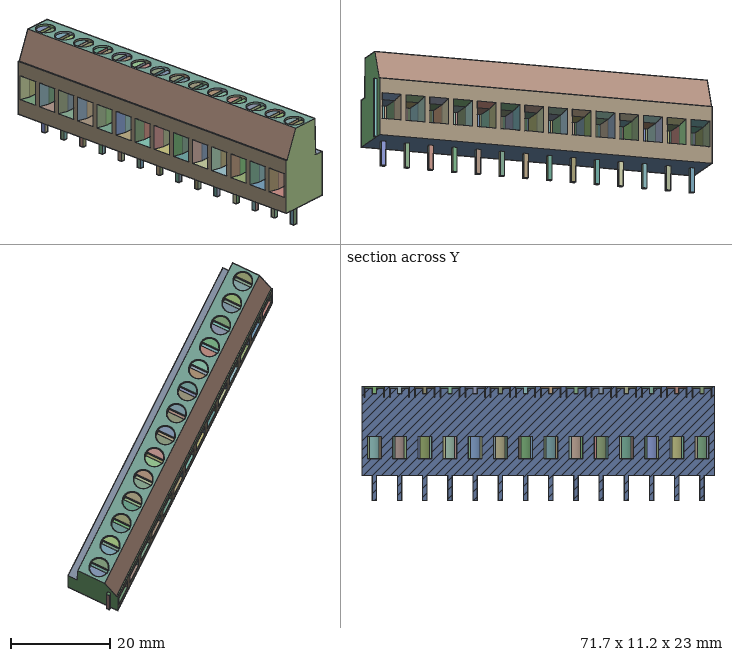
import cadquery as cq

pole_count = 14
total_length = 71.7
rib_thickness = 0.6
body_length = total_length - rib_thickness
pole_pitch = body_length / pole_count
pole_centers = [rib_thickness + (i + 0.5) * pole_pitch for i in range(pole_count)]

body_depth = 11.2
body_height = 18.0
top_front_y = 2.95
top_back_y = 8.95
shelf_front_y = 9.2
shelf_height = 9.8
slope_bottom_z = 11.8
slope_ledge = 0.3

rib_front_y = 1.6
rib_width = 0.7
rib_height = 12.05

entry_width = 4.0
entry_bottom_z = 3.45
entry_height = 5.3
funnel_depth = 2.15
funnel_side_inset = 0.65
funnel_top_inset = 0.85
passage_width = entry_width - 2 * funnel_side_inset
passage_height = entry_height - funnel_top_inset
passage_end_y = 7.1
clamp_diameter = 3.8

screw_y = 5.45
screw_diameter = 3.8
screw_hole_diameter = 4.0
screw_hole_depth = 2.15
screw_recess = 0.35
slot_width = 0.8
slot_depth = 1.1

pin_size = 0.9
pin_length = 5.0
pin_y = 5.2


def make_housing():
    profile = [
        (0, 0),
        (body_depth, 0),
        (body_depth, shelf_height),
        (shelf_front_y, shelf_height),
        (top_back_y, body_height),
        (top_front_y, body_height),
        (slope_ledge, slope_bottom_z),
        (0, slope_bottom_z),
    ]
    body = cq.Workplane("YZ", origin=(rib_thickness, 0, 0)).polyline(profile).close().extrude(body_length)
    rib = cq.Workplane("XY").box(2 * rib_thickness, rib_width, rib_height, centered=False)
    return body.union(rib.translate((0, rib_front_y, 0)))


def make_wire_entry(x):
    funnel = (
        cq.Workplane("XZ", origin=(x, 0, entry_bottom_z))
        .center(0, entry_height / 2)
        .rect(entry_width, entry_height)
        .workplane(offset=-funnel_depth)
        .center(0, -funnel_top_inset / 2)
        .rect(passage_width, passage_height)
        .loft(ruled=True)
    )
    passage = (
        cq.Workplane("XY", origin=(x - passage_width / 2, funnel_depth, entry_bottom_z))
        .box(passage_width, passage_end_y - funnel_depth, passage_height, centered=False)
    )
    groove = (
        cq.Workplane("XY", origin=(x, screw_y, entry_bottom_z))
        .circle(clamp_diameter / 2)
        .extrude(passage_height)
        .intersect(
            cq.Workplane("XY", origin=(x - passage_width / 2, screw_y, entry_bottom_z))
            .box(passage_width, clamp_diameter, passage_height, centered=False)
        )
    )
    return funnel.union(passage).union(groove)


def make_screw_hole(x):
    return (
        cq.Workplane("XY", origin=(x, screw_y, body_height))
        .circle(screw_hole_diameter / 2)
        .extrude(-screw_hole_depth)
    )


def make_screw(x):
    head_height = screw_hole_depth - screw_recess
    head = (
        cq.Workplane("XY", origin=(x, screw_y, body_height - screw_hole_depth))
        .circle(screw_diameter / 2)
        .extrude(head_height)
    )
    slot = (
        cq.Workplane("XY", origin=(x, screw_y, body_height - screw_recess))
        .rect(slot_width, screw_hole_diameter)
        .extrude(-slot_depth)
    )
    return head.cut(slot)


def make_pin(x):
    return cq.Workplane("XY", origin=(x, pin_y, 0)).rect(pin_size, pin_size).extrude(-pin_length)


result = make_housing()
for center_x in pole_centers:
    result = result.cut(make_wire_entry(center_x)).cut(make_screw_hole(center_x))
    result = result.union(make_screw(center_x)).union(make_pin(center_x))